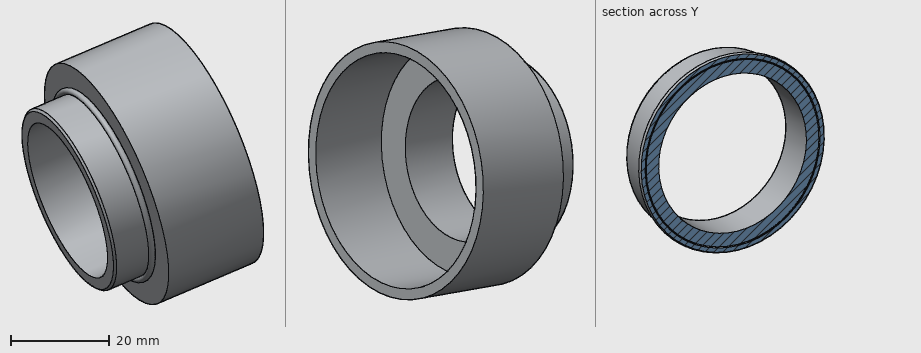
import cadquery as cq

body_diameter = 53.0
body_length = 22.0
spigot_diameter = 40.0
spigot_length = 9.0
spigot_chamfer = 0.5
bore_diameter = 34.0
socket_diameter = 48.5
socket_depth = 18.0
ring_section = 1.4
ring_outer_diameter = 42.7


def turn(profile):
    """Revolve a closed profile, drawn as (Y, Z) points, about the Y axis."""
    return profile.revolve(360, (0, 0, 0), (1, 0, 0))


def stepped_sleeve():
    """Body and chamfered spigot, with a through bore and a wider socket at the back."""
    body_radius = body_diameter / 2
    spigot_radius = spigot_diameter / 2
    bore_radius = bore_diameter / 2
    socket_radius = socket_diameter / 2
    socket_floor = body_length - socket_depth
    return turn(
        cq.Workplane("YZ")
        .moveTo(-spigot_length, bore_radius)
        .lineTo(-spigot_length, spigot_radius - spigot_chamfer)
        .lineTo(-spigot_length + spigot_chamfer, spigot_radius)
        .lineTo(0, spigot_radius)
        .lineTo(0, body_radius)
        .lineTo(body_length, body_radius)
        .lineTo(body_length, socket_radius)
        .lineTo(socket_floor, socket_radius)
        .lineTo(socket_floor, bore_radius)
        .close()
    )


def o_ring():
    """Round ring around the spigot, touching the shoulder and sunk slightly into the spigot."""
    section_radius = ring_section / 2
    centre_radius = ring_outer_diameter / 2 - section_radius
    return turn(
        cq.Workplane("YZ")
        .moveTo(-section_radius, centre_radius)
        .circle(section_radius)
    )


result = stepped_sleeve().union(o_ring())